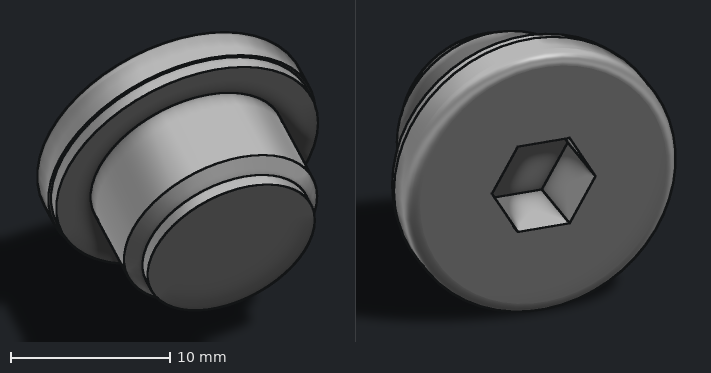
import cadquery as cq
import math

total_length = 10.5
head_diameter = 18.2
head_thickness = 2.5
head_edge_radius = 0.84
collar_diameter = 17.84
collar_end = 3.35
shank_diameter = 13.15
tip_diameter = 11.4
tip_length = 0.84
hex_across_flats = 6.0
hex_depth = 5.0

taper_length = (shank_diameter - tip_diameter) / 2
tip_start = total_length - tip_length
taper_start = tip_start - taper_length


def make_body():
    """Revolve the stepped half profile about the X axis."""
    head_radius = head_diameter / 2
    collar_radius = collar_diameter / 2
    shank_radius = shank_diameter / 2
    tip_radius = tip_diameter / 2
    profile = (
        cq.Workplane("XY")
        .lineTo(0, head_radius - head_edge_radius)
        .radiusArc((head_edge_radius, head_radius), head_edge_radius)
        .lineTo(head_thickness, head_radius)
        .lineTo(head_thickness, collar_radius)
        .lineTo(collar_end, collar_radius)
        .lineTo(collar_end, shank_radius)
        .lineTo(taper_start, shank_radius)
        .lineTo(tip_start, tip_radius)
        .lineTo(total_length, tip_radius)
        .lineTo(total_length, 0)
        .close()
    )
    return profile.revolve(360, (0, 0, 0), (1, 0, 0))


def make_hex_socket():
    """Blind hexagon with two corners on the Y axis, sunk from the head face."""
    across_corners = hex_across_flats / math.cos(math.radians(30))
    return cq.Workplane("YZ").polygon(6, across_corners).extrude(hex_depth)


result = make_body().cut(make_hex_socket())